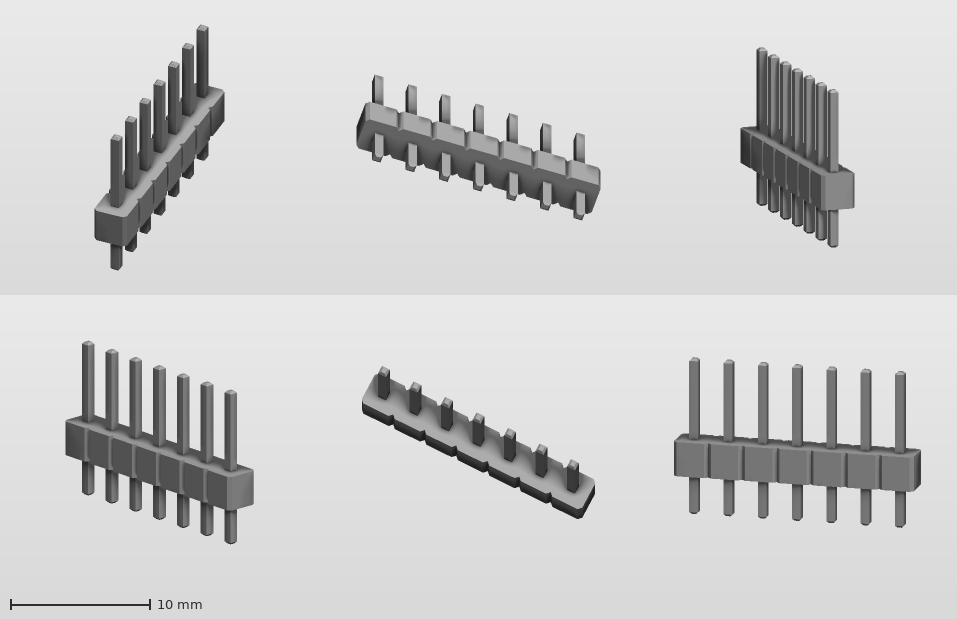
import cadquery as cq

pin_count = 7
row_length = 17.78
pitch = row_length / pin_count

body_size = pitch
corner_chamfer = body_size / 10

pin_width = 0.64
pin_above = 6.0
pin_below = 3.0
tip_chamfer = 0.16


def make_cell(y):
    """One chamfered body cell, standing on Z = 0."""
    return (
        cq.Workplane("XY")
        .box(body_size, pitch, body_size, centered=(True, True, False))
        .edges("|Z")
        .chamfer(corner_chamfer)
        .translate((0, y, 0))
    )


def make_pin(y):
    """One pin running through its cell, with both tips chamfered."""
    pin_length = pin_below + body_size + pin_above
    return (
        cq.Workplane("XY")
        .box(pin_width, pin_width, pin_length, centered=(True, True, False))
        .faces("<Z or >Z")
        .chamfer(tip_chamfer)
        .translate((0, y, -pin_below))
    )


result = cq.Workplane("XY")
for index in range(pin_count):
    y_position = (index - (pin_count - 1) / 2) * pitch
    result = result.union(make_cell(y_position)).union(make_pin(y_position))